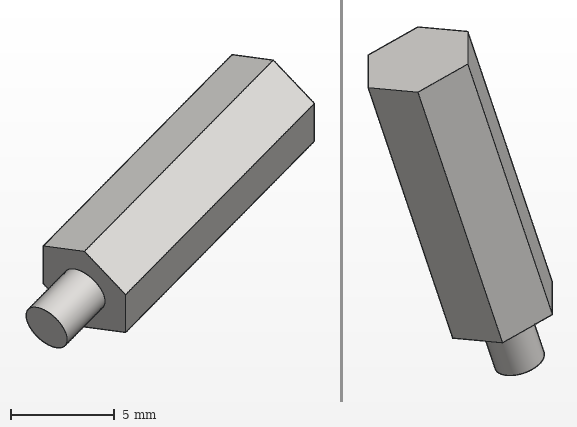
import cadquery as cq
import math

total_length = 18.0
stud_length = 3.0
across_flats = 5.0
stud_diameter = across_flats / 2

body_length = total_length - stud_length
across_corners = across_flats / math.cos(math.radians(30))

body = (
    cq.Workplane("XZ")
    .transformed(rotate=(0, 0, 30))
    .polygon(6, across_corners)
    .extrude(-body_length)
)

stud = cq.Workplane("XZ").circle(stud_diameter / 2).extrude(stud_length)

result = body.union(stud)